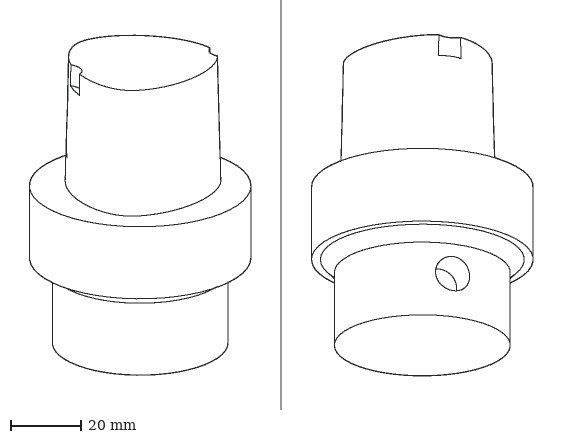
import cadquery as cq
import math

total_height = 86.0
shank_height = 22.0
cone_top = 26.0
collar_top = 48.0

shank_radius = 50.0 / 2
collar_radius = 62.95 / 2
cone_radius = shank_radius + cone_top - shank_height

polygon_base_radius = 22.1
polygon_lobe = 1.5
taper_ratio = 1 / 20
polygon_height = total_height - collar_top
polygon_top_radius = polygon_base_radius - polygon_height * taper_ratio / 2
outline_points = 72

notch_radius = 10.3 / 2
notch_height = 6.4
front_notch_floor = -17.8
rear_notch_floor = 20.9

screw_hole_radius = 10.3 / 2
screw_hole_z = 13.1
screw_hole_depth = 11.0


def polygon_point(angle, radius):
    """Point of a three-lobed curve of constant width, with one lobe toward +Y."""
    support = radius + polygon_lobe * math.cos(3 * angle)
    slope = -3 * polygon_lobe * math.sin(3 * angle)
    along_y = support * math.cos(angle) - slope * math.sin(angle)
    along_x = -support * math.sin(angle) - slope * math.cos(angle)
    return along_x, along_y


def polygon_outline(radius):
    angles = [math.pi + 2 * math.pi * i / outline_points for i in range(outline_points)]
    return [polygon_point(angle, radius) for angle in angles]


def make_body():
    profile = [
        (0, 0),
        (shank_radius, 0),
        (shank_radius, shank_height),
        (cone_radius, cone_top),
        (collar_radius, cone_top),
        (collar_radius, collar_top),
        (0, collar_top),
    ]
    return cq.Workplane("XZ").polyline(profile).close().revolve(360, (0, 0), (0, 1))


def make_polygon_taper():
    return (
        cq.Workplane("XY", origin=(0, 0, collar_top))
        .spline(polygon_outline(polygon_base_radius), periodic=True)
        .wire()
        .workplane(offset=polygon_height)
        .spline(polygon_outline(polygon_top_radius), periodic=True)
        .wire()
        .loft(ruled=True)
    )


def make_notch(center_y):
    floor = cq.Workplane("XY", origin=(0, center_y, total_height - notch_height))
    return floor.circle(notch_radius).extrude(notch_height)


def make_screw_hole():
    entry = cq.Workplane("XZ", origin=(0, shank_radius, screw_hole_z))
    return entry.circle(screw_hole_radius).extrude(screw_hole_depth)


result = make_body().union(make_polygon_taper())
for notch_center_y in (front_notch_floor - notch_radius, rear_notch_floor + notch_radius):
    result = result.cut(make_notch(notch_center_y))
result = result.cut(make_screw_hole())